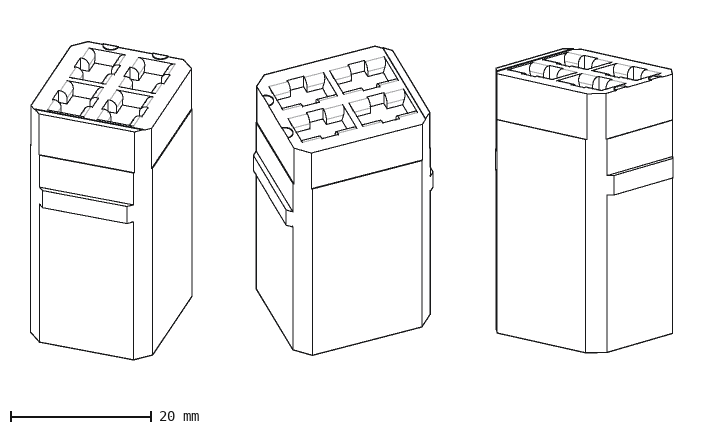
import cadquery as cq
import math

total_width = 18.47
total_depth = 22.5
total_height = 38.25
corner_chamfer = 2.85

rail_projection = 0.73
rail_bottom = 23.18
rail_height = 2.85
head_bottom = 31.4
head_inset = 0.1
marking_height = 0.1
body_depth = total_depth - 2 * rail_projection
head_width = total_width - 2 * head_inset
head_depth = body_depth - 2 * head_inset
head_top = total_height - marking_height

strip_width = 1.07
bump_radius = 1.15

pocket_pitch_x = 7.5
pocket_pitch_y = 9.3
pocket_width = 5.5
pocket_length = 8.35
pocket_depth = 2.0
pocket_end_taper = 0.55
notch_width = 6.05
notch_length = 2.52
guide_radius = 1.05


def full_outline(bottom, height):
    """Chamfered block that every level of the housing is trimmed to."""
    return (
        cq.Workplane("XY", origin=(0, 0, bottom))
        .rect(total_width, total_depth)
        .extrude(height)
        .edges("|Z")
        .chamfer(corner_chamfer)
    )


def level(width, depth, bottom, height):
    """Slice of the housing, sharing the corner planes of the full outline."""
    block = cq.Workplane("XY", origin=(0, 0, bottom)).rect(width, depth).extrude(height)
    return block.intersect(full_outline(bottom, height))


def housing():
    body = level(total_width, body_depth, 0, head_bottom)
    rails = level(total_width, total_depth, rail_bottom, rail_height)
    head = level(head_width, head_depth, head_bottom, head_top - head_bottom)
    return body.union(rails).union(head)


def markings():
    """Strip along the -Y edge and two half-round bumps on the +Y edge of the top face."""
    strip = (
        cq.Workplane("XY", origin=(0, -head_depth / 2 + strip_width / 2, head_top))
        .rect(total_width, strip_width)
        .extrude(marking_height)
    )
    bumps = (
        cq.Workplane("XY", origin=(0, head_depth / 2, head_top))
        .pushPoints([(side * pocket_pitch_x / 2, 0) for side in (-1, 1)])
        .circle(bump_radius)
        .extrude(marking_height)
    )
    head_outline = level(head_width, head_depth, head_top, marking_height)
    return strip.union(bumps).intersect(head_outline)


def pocket():
    """Cutting shape of one pocket: rounded guides along both sides, sloping ends, a cross notch."""
    floor = head_top - pocket_depth
    mouth = pocket_width / 2
    throat = mouth - guide_radius
    arc_start = head_top - guide_radius
    arc_offset = guide_radius * math.sin(math.radians(45))
    arc_mid_x = mouth - arc_offset
    arc_mid_z = arc_start + arc_offset
    guided = (
        cq.Workplane("XZ")
        .moveTo(-throat, floor)
        .lineTo(throat, floor)
        .lineTo(throat, arc_start)
        .threePointArc((arc_mid_x, arc_mid_z), (mouth, head_top))
        .lineTo(-mouth, head_top)
        .threePointArc((-arc_mid_x, arc_mid_z), (-throat, arc_start))
        .close()
        .extrude(pocket_length / 2, both=True)
    )
    half_mouth = pocket_length / 2
    half_floor = half_mouth - pocket_end_taper
    sloping_ends = (
        cq.Workplane("YZ")
        .polyline([
            (-half_floor, floor),
            (half_floor, floor),
            (half_mouth, head_top),
            (-half_mouth, head_top),
        ])
        .close()
        .extrude(pocket_width / 2, both=True)
    )
    notch = cq.Workplane("XY", origin=(0, 0, floor)).rect(notch_width, notch_length).extrude(pocket_depth)
    return guided.intersect(sloping_ends).union(notch)


result = housing().union(markings())
for side_x in (-1, 1):
    for side_y in (-1, 1):
        center_x = side_x * pocket_pitch_x / 2
        center_y = side_y * pocket_pitch_y / 2
        result = result.cut(pocket().translate((center_x, center_y, 0)))